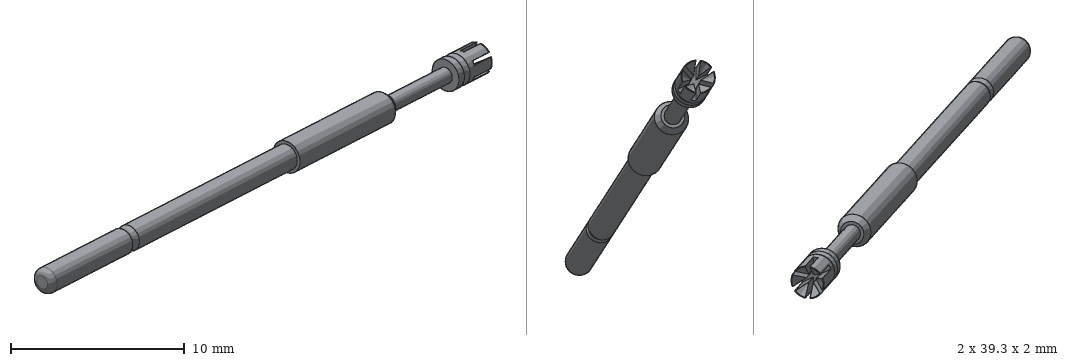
import cadquery as cq

total_length = 39.3
tip_y = total_length / 2

head_radius = 1.0
head_length = 3.0
slot_width = 0.28
slot_depth = 1.5
slot_length = 3 * head_radius
through_slot_count = 3
slot_spacing = 180 / through_slot_count
cavity_radius = 0.95
cavity_depth = cavity_radius
head_groove_start = 2.0
head_groove_end = 2.5
head_groove_depth = 0.1

stem_radius = 0.5

collar_radius = 1.0
collar_start = 8.3
collar_end = 17.3
collar_rim_radius = 0.7
collar_cone_length = 0.4

barrel_radius = 0.8
barrel_groove_start = 31.5
barrel_groove_end = 32.1
barrel_groove_depth = 0.12
tail_round = 0.4


def cylinder(radius, start, end):
    """Cylinder on the pin axis between two distances from the crown tip."""
    plane = cq.Plane(origin=(0, tip_y - start, 0), xDir=(1, 0, 0), normal=(0, -1, 0))
    return cq.Workplane(plane).circle(radius).extrude(end - start)


def groove_cutter(radius, start, end, depth):
    """Ring with a circular-arc section that dips below the given radius."""
    start_y = tip_y - start
    end_y = tip_y - end
    outside = radius + depth
    return (
        cq.Workplane("XY")
        .moveTo(outside, start_y)
        .lineTo(radius, start_y)
        .threePointArc((radius - depth, (start_y + end_y) / 2), (radius, end_y))
        .lineTo(outside, end_y)
        .close()
        .revolve(360, (0, 0, 0), (0, 1, 0))
    )


def crown_cavity():
    """Cone that hollows the crown tip and leaves a narrow rim."""
    return (
        cq.Workplane("XY")
        .moveTo(0, tip_y)
        .lineTo(cavity_radius, tip_y)
        .lineTo(0, tip_y - cavity_depth)
        .close()
        .revolve(360, (0, 0, 0), (0, 1, 0))
    )


def make_head():
    """Crown head with a conical cavity, slots across its tip and a ring groove."""
    head = cylinder(head_radius, 0, head_length).cut(crown_cavity())
    slot = cq.Workplane("XY").box(slot_width, slot_depth, slot_length)
    slot = slot.translate((0, tip_y - slot_depth / 2, 0))
    for index in range(through_slot_count):
        head = head.cut(slot.rotate((0, 0, 0), (0, 1, 0), index * slot_spacing))
    return head.cut(groove_cutter(head_radius, head_groove_start, head_groove_end, head_groove_depth))


def make_collar():
    """Thick collar that tapers to a smaller rim at its crown-side end."""
    start_y = tip_y - collar_start
    end_y = tip_y - collar_end
    return (
        cq.Workplane("XY")
        .moveTo(0, start_y)
        .lineTo(collar_rim_radius, start_y)
        .lineTo(collar_radius, start_y - collar_cone_length)
        .lineTo(collar_radius, end_y)
        .lineTo(0, end_y)
        .close()
        .revolve(360, (0, 0, 0), (0, 1, 0))
    )


def make_barrel():
    """Slim barrel with a ring groove and a rounded tail."""
    barrel = cylinder(barrel_radius, collar_end, total_length).faces("<Y").edges().fillet(tail_round)
    return barrel.cut(
        groove_cutter(barrel_radius, barrel_groove_start, barrel_groove_end, barrel_groove_depth)
    )


stem = cylinder(stem_radius, head_length, collar_start)
result = make_head().union(stem).union(make_collar()).union(make_barrel())